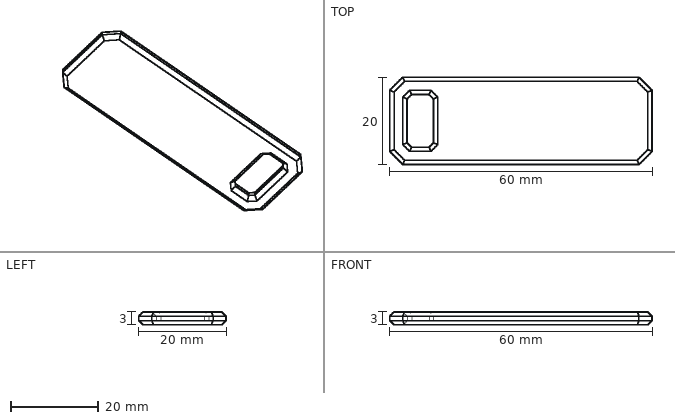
import cadquery as cq

length = 60.0
width = length / 3
thickness = length / 20
corner_cut = thickness
bevel = thickness / 3

slot_length = 6.0
slot_width = 12.0
slot_corner_cut = bevel
slot_rim = thickness + bevel
slot_center_x = -length / 2 + slot_rim + slot_length / 2


def cut_corner_block(size_x, size_y, corner_leg):
    """Block of the plate's thickness standing on Z = 0, with its four upright edges cut at 45 degrees."""
    block = cq.Workplane("XY").box(size_x, size_y, thickness, centered=(True, True, False))
    return block.edges("|Z").chamfer(corner_leg)


plate = cut_corner_block(length, width, corner_cut)
slot = cut_corner_block(slot_length, slot_width, slot_corner_cut).translate((slot_center_x, 0, 0))
plate = plate.cut(slot)

result = plate.faces("<Z or >Z").edges().chamfer(bevel)